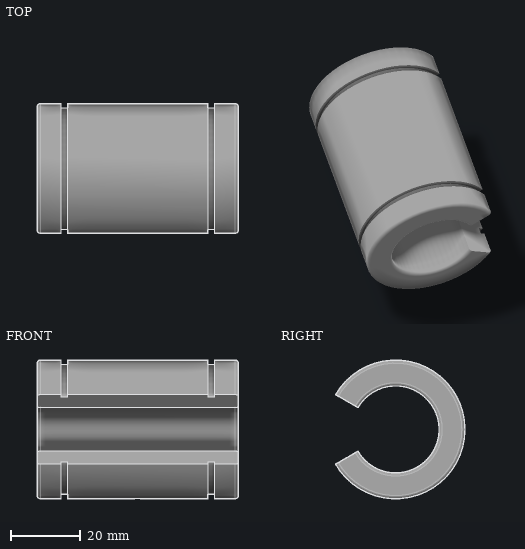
import cadquery as cq
import math

length = 58.0
outer_diameter = 40.0
bore_diameter = 25.0
edge_radius = 0.9

groove_diameter = 37.5
groove_width = 1.85
groove_end_distance = 6.95

opening_angle = 60.0

hole_diameter = 3.0
hole_depth = 3.0

outer_radius = outer_diameter / 2
bore_radius = bore_diameter / 2


def make_sleeve():
    """Tube along X with rounded inner and outer end edges."""
    tube = (
        cq.Workplane("YZ")
        .circle(outer_radius)
        .circle(bore_radius)
        .extrude(length / 2, both=True)
    )
    return tube.faces("<X or >X").edges().fillet(edge_radius)


def make_groove(start_x):
    """Ring to remove from the outside, starting at start_x."""
    return (
        cq.Workplane("YZ", origin=(start_x, 0, 0))
        .circle(outer_diameter)
        .circle(groove_diameter / 2)
        .extrude(groove_width)
    )


def make_opening():
    """Wedge with its tip on the axis, widening toward -Y."""
    reach = outer_diameter
    half_width = reach * math.tan(math.radians(opening_angle / 2))
    return (
        cq.Workplane("YZ")
        .polyline([(0, 0), (-reach, half_width), (-reach, -half_width)])
        .close()
        .extrude(length, both=True)
    )


def make_hole():
    """Pin rising from the lowest line of the outer surface into the wall."""
    return (
        cq.Workplane("XY", origin=(0, 0, -outer_radius))
        .circle(hole_diameter / 2)
        .extrude(hole_depth)
    )


first_groove_x = -length / 2 + groove_end_distance
second_groove_x = -first_groove_x - groove_width

result = make_sleeve()
for groove_x in (first_groove_x, second_groove_x):
    result = result.cut(make_groove(groove_x))
result = result.cut(make_opening()).cut(make_hole())